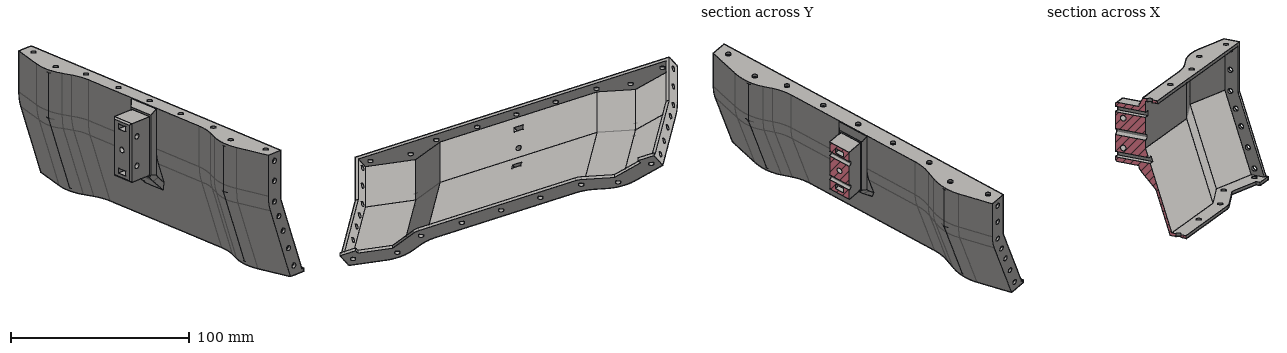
import cadquery as cq
import math

HALF_WIDTH = 100.0
HEIGHT = 80.0
BEND_Z = 50.0
SHELL = 2.0
EDGE_RADIUS = 30.0

CREST_X, CREST_Y = 70.3, -17.8
STEP_X, CENTRE_Y = 50.3, -9.6
SPLAY = math.tan(math.radians(15.0))
END_Y = CREST_Y + (HALF_WIDTH - CREST_X) * SPLAY

HOLLOW_HALF_WIDTH = HALF_WIDTH - SHELL
HOLLOW_CREST_X, HOLLOW_CREST_Y = 70.0, CREST_Y + SHELL
HOLLOW_STEP_X, HOLLOW_CENTRE_Y = 50.0, CENTRE_Y + SHELL
HOLLOW_END_Y = HOLLOW_CREST_Y + (HOLLOW_HALF_WIDTH - HOLLOW_CREST_X) * SPLAY

FLANGE_DEPTH = 9.0
REAR_Y = 18.0
TAB_LENGTH = 10.0

LEAN = (REAR_Y - FLANGE_DEPTH - HOLLOW_CENTRE_Y) / (BEND_Z - SHELL)

SCREW_DIA = 3.0
END_HOLE_Y = -5.0
END_HOLES_Z = (75.0, 62.75, 50.0, 40.0, 30.0, 18.0, 6.0)
TOP_HOLES = ((0, -5), (25, -5), (51, -5), (70, -10), (93, -5))
BOTTOM_HOLES = ((0, 13), (25, 13), (51, 13), (70.3, 5.2), (95, 11.8))

PAD_HALF_WIDTH = 10.0
PAD_FRONT_HALF_WIDTH = 8.0
PAD_FRONT_Y = -11.9
PAD_TOP, PAD_FRONT_TOP = 79.5, 75.7
PAD_FRONT_BOTTOM = 37.1
PAD_HEEL_Y, PAD_HEEL_Z = -10.2, 35.0
PAD_SIDE_END_Z = 39.0
PAD_CORNER_DROP = 1.5
PAD_FLANK_Y, PAD_FLANK_Z = -6.8, 35.7

BLOCK_WIDTH = 14.0
BLOCK_HEIGHT = 36.0
BLOCK_CENTRE_Z = 56.5
OVERALL_DEPTH = 44.78
BLOCK_FRONT_Y = REAR_Y - OVERALL_DEPTH
BLOCK_CHAMFER = 1.0
SLOT_WIDTH, SLOT_HEIGHT = 5.7, 3.0
SLOT_SPACING = 27.2
CENTRE_HOLE_DIA = 3.3
CROSS_HOLE_DIA = 3.2
CROSS_HOLE_Y = -21.8
CROSS_HOLE_SPACING = 18.0

EDGE_MARGIN = 1.0
BEYOND = 60.0


def set_back(z):
    """How far the leaning part is set back at height z."""
    return max(BEND_Z - z, 0.0) * LEAN


def mirrored(left_half):
    return left_half + [(-x, y) for x, y in reversed(left_half)]


def prism(points, z, direction):
    wire = cq.Wire.makePolygon([cq.Vector(x, y, z) for x, y in points], close=True)
    return cq.Workplane(cq.Solid.extrudeLinear(wire, [], cq.Vector(*direction)))


def bent_prism(points, bottom, top):
    """Prism on an XY outline, upright above the bend and leaning below it."""
    drop = BEND_Z - bottom
    upper = prism(points, BEND_Z, (0, 0, top - BEND_Z))
    lower = prism(points, BEND_Z, (0, set_back(bottom), -drop))
    return upper.union(lower)


def closed_at(y, front):
    """Outline from a front line and a straight rear edge at y."""
    half_width = -front[0][0]
    return front + [(half_width, y), (-half_width, y)]


FRONT = mirrored([(-HALF_WIDTH, END_Y), (-CREST_X, CREST_Y), (-STEP_X, CENTRE_Y)])
HOLLOW_FRONT = mirrored([
    (-HOLLOW_HALF_WIDTH, HOLLOW_END_Y),
    (-HOLLOW_CREST_X, HOLLOW_CREST_Y),
    (-HOLLOW_STEP_X, HOLLOW_CENTRE_Y),
])


def is_front_edge(edge):
    centre = edge.Center()
    on_front = centre.y - set_back(centre.z) < END_Y / 2
    inside_ends = abs(centre.x) < HALF_WIDTH - EDGE_MARGIN
    return on_front and inside_ends and EDGE_MARGIN < centre.z < HEIGHT - EDGE_MARGIN


def blank():
    """Solid behind the rounded front surface, with room for the flange at the rear."""
    body = bent_prism(closed_at(REAR_Y, FRONT), 0, HEIGHT)
    edges = [edge for edge in body.edges().vals() if is_front_edge(edge)]
    return body.newObject(edges).fillet(EDGE_RADIUS)


def slab(x0, x1, y0, y1, z0, z1):
    return cq.Workplane().box(x1 - x0, y1 - y0, z1 - z0, centered=False).translate((x0, y0, z0))


def flange_layer():
    """Layer under the hollow: a strip along the inner wall and a tab at each end."""
    inner_front = [(x, y + set_back(SHELL)) for x, y in HOLLOW_FRONT]
    outline = closed_at(-BEYOND, inner_front)
    layer = cq.Workplane().polyline(outline).close().offset2D(FLANGE_DEPTH).extrude(SHELL)
    for x0 in (-HALF_WIDTH, HALF_WIDTH - TAB_LENGTH):
        layer = layer.union(slab(x0, x0 + TAB_LENGTH, 0, REAR_Y, 0, SHELL))
    return layer


def cut_beyond(body, point, normal):
    """Remove everything on the outer side of a plane."""
    plane = cq.Plane(origin=point, normal=normal)
    cutter = cq.Workplane(plane).rect(2 * BEYOND, 2 * BEYOND).extrude(BEYOND)
    return body.cut(cutter)


def pad():
    """Tapered pad whose underside slopes back to the leaning wall."""
    body = slab(-PAD_HALF_WIDTH, PAD_HALF_WIDTH, PAD_FRONT_Y, REAR_Y, 0, PAD_TOP)
    taper_depth = CENTRE_Y - PAD_FRONT_Y
    top_rise = PAD_TOP - PAD_FRONT_TOP
    body = cut_beyond(body, (0, PAD_FRONT_Y, PAD_FRONT_TOP), (0, -top_rise, taper_depth))
    heel_depth = PAD_HEEL_Y - PAD_FRONT_Y
    heel_drop = PAD_FRONT_BOTTOM - PAD_HEEL_Z
    body = cut_beyond(body, (0, PAD_FRONT_Y, PAD_FRONT_BOTTOM), (0, -heel_drop, -heel_depth))
    body = cut_beyond(body, (0, PAD_HEEL_Y, PAD_HEEL_Z), (0, -1, -1))
    side_step = PAD_HALF_WIDTH - PAD_FRONT_HALF_WIDTH
    for side in (-1, 1):
        x = side * PAD_HALF_WIDTH
        body = cut_beyond(body, (x, CENTRE_Y, BEND_Z), (side * taper_depth, -side_step, 0))
        corner_normal = (side * taper_depth, -side_step, -PAD_CORNER_DROP)
        body = cut_beyond(body, (x, CENTRE_Y, PAD_SIDE_END_Z), corner_normal)
        body = cut_beyond(body, (x, PAD_FLANK_Y, PAD_FLANK_Z), (side * math.sqrt(2), -1, -1))
    return body


def block():
    depth = PAD_FRONT_Y - BLOCK_FRONT_Y
    body = cq.Workplane().box(BLOCK_WIDTH, depth, BLOCK_HEIGHT)
    body = body.faces("<Y").edges().chamfer(BLOCK_CHAMFER)
    return body.translate((0, BLOCK_FRONT_Y + depth / 2, BLOCK_CENTRE_Z))


def cylinder(point, direction, diameter, length):
    start = cq.Vector(*point)
    return cq.Workplane(cq.Solid.makeCylinder(diameter / 2, length, start, cq.Vector(*direction)))


def cut_rim_holes(body):
    for z in END_HOLES_Z:
        start = (-HALF_WIDTH, END_HOLE_Y + set_back(z), z)
        body = body.cut(cylinder(start, (1, 0, 0), SCREW_DIA, 2 * HALF_WIDTH))
    for holes, z in ((TOP_HOLES, HEIGHT - SHELL), (BOTTOM_HOLES, 0)):
        for x, y in holes:
            for place in {x, -x}:
                body = body.cut(cylinder((place, y, z), (0, 0, 1), SCREW_DIA, SHELL))
    return body


def cut_block_holes(body):
    start = (0, BLOCK_FRONT_Y, BLOCK_CENTRE_Z)
    body = body.cut(cylinder(start, (0, 1, 0), CENTRE_HOLE_DIA, OVERALL_DEPTH))
    for side in (-0.5, 0.5):
        z = BLOCK_CENTRE_Z + side * SLOT_SPACING
        slot = cq.Workplane().box(SLOT_WIDTH, 2 * BEYOND, SLOT_HEIGHT).translate((0, 0, z))
        body = body.cut(slot)
        z = BLOCK_CENTRE_Z + side * CROSS_HOLE_SPACING
        start = (-BLOCK_WIDTH / 2, CROSS_HOLE_Y, z)
        body = body.cut(cylinder(start, (1, 0, 0), CROSS_HOLE_DIA, BLOCK_WIDTH))
    return body


def bumper():
    solid = blank()
    flange = solid.intersect(flange_layer())
    behind = closed_at(BEYOND, [(-HALF_WIDTH, 0), (HALF_WIDTH, 0)])
    shell = solid.union(pad())
    shell = shell.cut(bent_prism(closed_at(BEYOND, HOLLOW_FRONT), 0, HEIGHT - SHELL))
    shell = shell.cut(bent_prism(behind, 0, HEIGHT))
    shell = shell.cut(slab(-HALF_WIDTH, HALF_WIDTH, -BEYOND, BEYOND, 0, SHELL))
    body = shell.union(flange).union(block())
    return cut_block_holes(cut_rim_holes(body))


result = bumper()